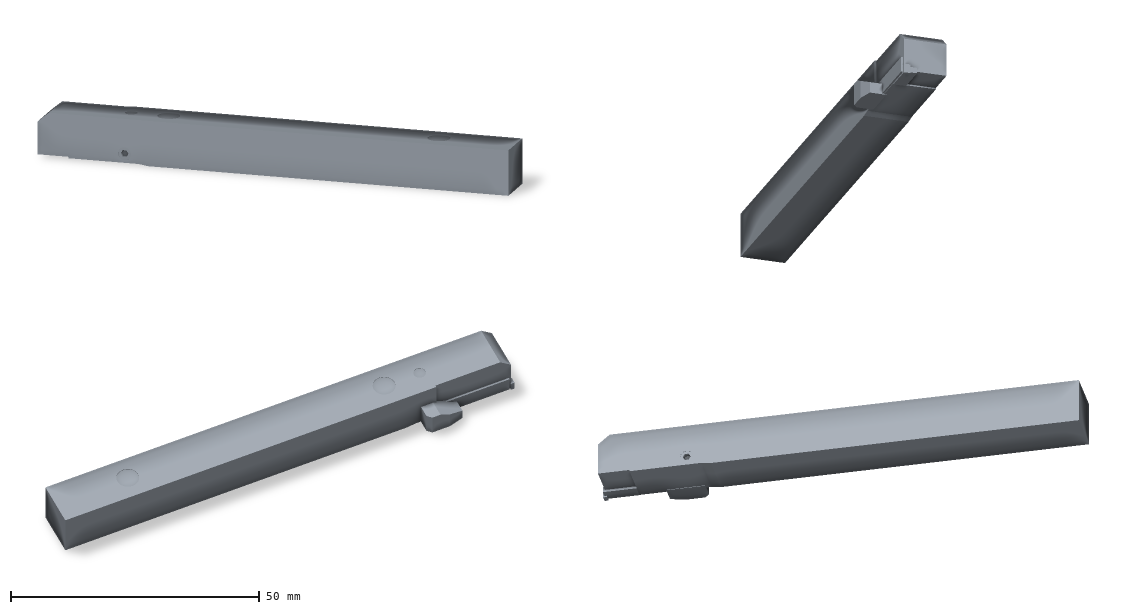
import cadquery as cq

length = 100
shank_size = 9.5
tip_overhang = 0.7
tip_drop = 0.2
top = tip_drop + shank_size
overlap = 0.5

nose_chamfer_length = 2.4
nose_chamfer_height = 2.0
under_relief = 0.3
under_relief_start = 22.0
under_relief_end = 24.0
seat_length = 7.2
seat_depth = 0.6
side_relief = 0.4
side_relief_end = 17.5

tip_length = 0.8
tip_width = 1.4
tip_height = 1.9
neck_start = 0.3
neck_width = 3.1
neck_bottom = 0.3
neck_height = 1.2
ledge_start = 1.2
ledge_top = 3.8
wing_start = 12.9
wing_end = 20.9
wing_reach = 13 - shank_size
wing_bottom = 0.4
wing_front_top = 2.7
wing_top = 5.1
wing_slope_end = 18.2
wing_taper_length = 3.2
wing_taper_width = 0.9
wing_corner = 0.9

mark_depth = 0.1
pin_x = 19.0
pin_diameter = 2.5
plug_positions = (26.9, 83.9)
plug_diameter = 4.6
screw_x = 19.0
screw_z = 2.4
screw_diameter = 2.7
socket_diameter = 1.6
socket_depth = 1.0


def block(x_range, y_range, z_range):
    """Box spanning the given coordinate ranges."""
    starts, ends = zip(x_range, y_range, z_range)
    sizes = [end - start for start, end in zip(starts, ends)]
    return cq.Workplane("XY").box(*sizes, centered=False).translate(starts)


def make_shank():
    side_profile = [
        (tip_overhang, tip_drop + seat_depth),
        (tip_overhang, top - nose_chamfer_height),
        (tip_overhang + nose_chamfer_length, top),
        (length, top),
        (length, tip_drop),
        (under_relief_end, tip_drop),
        (under_relief_start, tip_drop + under_relief),
        (seat_length, tip_drop + under_relief),
        (seat_length, tip_drop + seat_depth),
    ]
    shank = cq.Workplane("XZ").polyline(side_profile).close().extrude(-shank_size)
    relief = block((0, side_relief_end), (shank_size - side_relief, shank_size), (0, top))
    return shank.cut(relief)


def make_neck():
    neck_top = neck_bottom + neck_height
    inner = shank_size - side_relief
    neck = block((neck_start, seat_length), (shank_size - neck_width, inner), (neck_bottom, neck_top))
    ledge_heights = (neck_bottom + under_relief, ledge_top)
    ledge = block((ledge_start, side_relief_end), (inner - overlap, shank_size), ledge_heights)
    tip_side = shank_size - side_relief / 2
    tip = block((0, tip_length), (tip_side - tip_width, tip_side), (0, tip_height))
    return neck.union(ledge).union(tip)


def make_wing():
    inner = shank_size - side_relief - overlap
    outer = shank_size + wing_reach
    plan = [
        (wing_start, inner),
        (wing_start, outer - wing_taper_width),
        (wing_start + wing_taper_length, outer),
        (wing_end - wing_corner, outer),
        (wing_end, outer - wing_corner),
        (wing_end, inner),
    ]
    elevation = [
        (wing_start, wing_bottom),
        (wing_start, wing_front_top),
        (wing_slope_end, wing_top),
        (wing_end, wing_top),
        (wing_end, wing_bottom),
    ]
    plan_body = cq.Workplane("XY").polyline(plan).close().extrude(top)
    elevation_body = cq.Workplane("XZ").polyline(elevation).close().extrude(-outer)
    return plan_body.intersect(elevation_body)


def cut_top_marks(body):
    marks = [(pin_x, pin_diameter)] + [(x, plug_diameter) for x in plug_positions]
    for x, diameter in marks:
        mark = cq.Workplane("XY").center(x, shank_size / 2).circle(diameter / 2).extrude(mark_depth)
        body = body.cut(mark.translate((0, 0, top - mark_depth)))
    return body


def cut_side_screw(body):
    axis = cq.Workplane("XZ").center(screw_x, screw_z)
    head = axis.circle(screw_diameter / 2).extrude(-mark_depth)
    socket = axis.polygon(6, socket_diameter).extrude(-socket_depth)
    return body.cut(head).cut(socket)


holder = make_shank().union(make_neck()).union(make_wing())
result = cut_side_screw(cut_top_marks(holder))